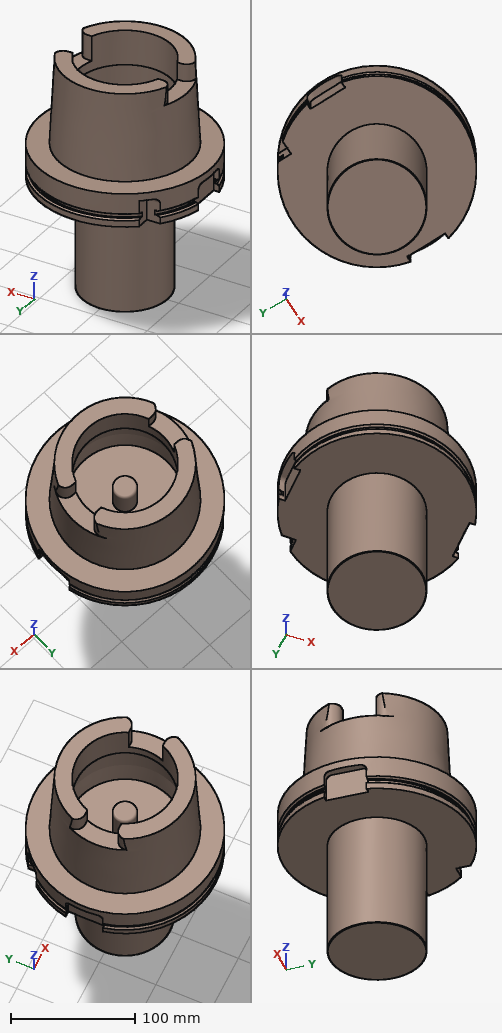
import cadquery as cq
import math

taper_length = 79.9
flange_thickness = 31.0
shank_end_z = -135.0

taper_base_diameter = 121.6
taper_ratio = 10.0
taper_top_diameter = taper_base_diameter - taper_length / taper_ratio
flange_diameter = 159.92
flange_radius = flange_diameter / 2
shank_diameter = 80.0
shank_chamfer = 0.5

groove_top_z = -18.8
groove_bottom_z = -25.2
groove_depth = 3.8
groove_chamfer_depth = 2.0
groove_chamfer_height = 1.3

bore_diameter = 85.07
bore_length = 32.3
undercut_diameter = 100.11
undercut_end_z = 15.5
bore_cone_angle = 8.0
bore_floor_diameter = 95.0
bore_cone_height = (undercut_diameter - bore_floor_diameter) / 2 / math.tan(math.radians(bore_cone_angle))
bore_floor_z = undercut_end_z - bore_cone_height

pin_diameter = 20.0
pin_height = 30.0
pin_fillet = 2.0

key_slot_width = 30.0
key_slot_corner_radius = 8.0
key_face_distance = 52.1
key_corner_wrap = 27.0
key_runout_length = 9.0
shallow_key_depth = 16.1
deep_key_depth = 23.1

rim_cut_top_z = -7.0
rim_cut_height = flange_thickness + rim_cut_top_z
narrow_drive_slot_width = 33.0
wide_drive_slot_width = 36.0
drive_slot_floor_distance = 73.0
rim_cut_fillet = 5.0
notch_corner_distance = 50.0


def outer_body():
    """Shank, grooved flange and taper turned in one profile."""
    shank_radius = shank_diameter / 2
    groove_radius = flange_radius - groove_depth
    chamfer_radius = flange_radius - groove_chamfer_depth
    lower_wall_z = groove_bottom_z + groove_chamfer_height
    upper_wall_z = groove_top_z - groove_chamfer_height
    profile = (
        cq.Workplane("XZ")
        .moveTo(0, shank_end_z)
        .lineTo(shank_radius - shank_chamfer, shank_end_z)
        .lineTo(shank_radius, shank_end_z + shank_chamfer)
        .lineTo(shank_radius, -flange_thickness)
        .lineTo(flange_radius, -flange_thickness)
        .lineTo(flange_radius, groove_bottom_z)
        .lineTo(chamfer_radius, lower_wall_z)
        .lineTo(groove_radius, lower_wall_z)
        .lineTo(groove_radius, upper_wall_z)
        .lineTo(chamfer_radius, upper_wall_z)
        .lineTo(flange_radius, groove_top_z)
        .lineTo(flange_radius, 0)
        .lineTo(taper_base_diameter / 2, 0)
        .lineTo(taper_top_diameter / 2, taper_length)
        .lineTo(0, taper_length)
        .close()
    )
    return profile.revolve(360, (0, 0), (0, 1))


def inner_cavity():
    """Bore, wider undercut and cone down to the floor, around the round-edged central pin."""
    bore_radius = bore_diameter / 2
    undercut_radius = undercut_diameter / 2
    bore_end_z = taper_length - bore_length
    pin_radius = pin_diameter / 2
    pin_top_z = bore_floor_z + pin_height
    profile = (
        cq.Workplane("XZ")
        .moveTo(0, pin_top_z)
        .lineTo(pin_radius - pin_fillet, pin_top_z)
        .tangentArcPoint((pin_radius, pin_top_z - pin_fillet), relative=False)
        .lineTo(pin_radius, bore_floor_z)
        .lineTo(bore_floor_diameter / 2, bore_floor_z)
        .lineTo(undercut_radius, undercut_end_z)
        .lineTo(undercut_radius, bore_end_z)
        .lineTo(bore_radius, bore_end_z)
        .lineTo(bore_radius, taper_length)
        .lineTo(0, taper_length)
        .close()
    )
    return profile.revolve(360, (0, 0), (0, 1))


def key_slot(side, depth):
    """Slot in the taper end that widens through rounded corners (side is +1 or -1)."""
    half_width = key_slot_width / 2
    corner_x = key_face_distance - key_slot_corner_radius
    corner_y = half_width + key_slot_corner_radius
    arc_end_angle = math.radians(key_corner_wrap)
    arc_end_x = corner_x + key_slot_corner_radius * math.cos(arc_end_angle)
    arc_end_y = corner_y + key_slot_corner_radius * math.sin(arc_end_angle)
    runout_x = arc_end_x - key_runout_length * math.sin(arc_end_angle)
    runout_y = arc_end_y + key_runout_length * math.cos(arc_end_angle)
    outer = taper_base_diameter / 2
    outline = (
        cq.Workplane("XY", origin=(0, 0, taper_length - depth))
        .moveTo(0, -half_width)
        .lineTo(side * corner_x, -half_width)
        .threePointArc((side * key_face_distance, -corner_y), (side * arc_end_x, -arc_end_y))
        .lineTo(side * runout_x, -runout_y)
        .lineTo(side * outer, -runout_y)
        .lineTo(side * outer, runout_y)
        .lineTo(side * runout_x, runout_y)
        .lineTo(side * arc_end_x, arc_end_y)
        .threePointArc((side * key_face_distance, corner_y), (side * corner_x, half_width))
        .lineTo(0, half_width)
        .close()
    )
    return outline.extrude(depth)


def drive_slot(side, width):
    """Flat-floored slot in the flange rim, rounded at its top corners."""
    slot = cq.Workplane("XY", origin=(side * drive_slot_floor_distance, 0, -flange_thickness)).box(
        flange_radius, width, rim_cut_height, centered=(True, True, False)
    )
    slot = slot.translate((side * flange_radius / 2, 0, 0))
    return slot.edges("|X and >Z").fillet(rim_cut_fillet)


def index_notch():
    """Right-angled notch in the rim, midway between -X and +Y."""
    notch = (
        cq.Workplane("XY", origin=(-notch_corner_distance, notch_corner_distance, -flange_thickness))
        .rect(-flange_radius, flange_radius, centered=False)
        .extrude(rim_cut_height)
    )
    return notch.edges("|X and >Z and <Y").fillet(rim_cut_fillet)


result = outer_body().cut(inner_cavity())
result = result.cut(key_slot(-1, shallow_key_depth)).cut(key_slot(1, deep_key_depth))
result = result.cut(drive_slot(-1, narrow_drive_slot_width)).cut(drive_slot(1, wide_drive_slot_width))
result = result.cut(index_notch())